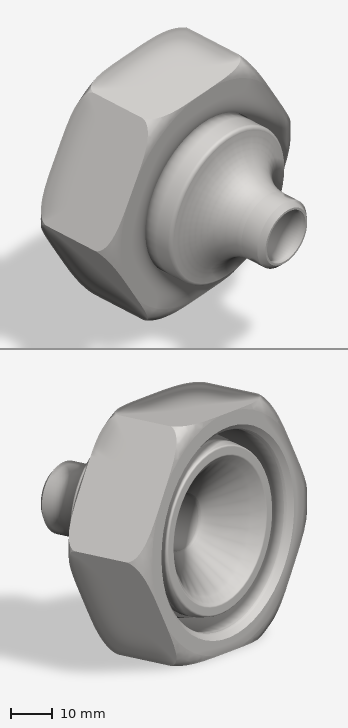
import cadquery as cq
import math

CORNER_RADIUS = 34.65
NUT_LENGTH = 24.05
CROWN_ROUND = 4.5
CROWN_CLEARANCE = 0.7
THREAD_BORE = 49.8
MOUTH_DIAMETER = 52.85
MOUTH_ROUND = 1.0
NUT_FLOOR_X = 18.0
NUT_HOLE = 42.3

LIP_X = 2.3
LIP_ROUND = 0.5
TIP_X = 50.5
FLANGE_DIAMETER = 47.8
CONE_HALF_ANGLE = math.radians(12)
CONE_END_X = 16.1
COLLAR_DIAMETER = 41.9
COLLAR_END_X = 32.1
COLLAR_ROUND = 1.05
NECK_DIAMETER = 18.0
NECK_START_X = 44.05
TIP_CHAMFER = 1.4
BORE_DIAMETER = 14.05
BORE_ROUND = 1.0
FUNNEL_DIAMETER = 37.05

GROOVE_START_X = 5.25
GROOVE_WIDTH = 3.3
GROOVE_FLOOR_RADIUS = 19.2
RING_SECTION = 2.4

EDGE_TOLERANCE = 0.035
COS_45 = math.sqrt(0.5)


def revolve_about_x(profile):
    """Turn a closed XY outline, with Y as the radius, fully about the X axis."""
    return profile.close().revolve(360, (0, 0, 0), (1, 0, 0))


def cone_radius(x):
    """Radius of the sealing cone at the axial place x."""
    return FLANGE_DIAMETER / 2 - (CONE_END_X - x) * math.tan(CONE_HALF_ANGLE)


def round_circle(body, x, radius, fillet):
    """Round the circular edge about the X axis at the given place and radius."""
    matches = [
        edge
        for edge in body.edges("%CIRCLE").vals()
        if abs(edge.Center().x - x) < EDGE_TOLERANCE and abs(edge.radius() - radius) < EDGE_TOLERANCE
    ]
    return body.newObject(matches).fillet(fillet)


def make_nut():
    """Hexagon union nut with rounded corners, open at X = 0."""
    hexagon = (
        cq.Workplane("YZ")
        .polygon(6, 2 * CORNER_RADIUS)
        .extrude(NUT_LENGTH)
    )

    face_radius = CORNER_RADIUS - CROWN_ROUND
    diagonal = CROWN_ROUND * COS_45
    arc_mid_x = CROWN_ROUND - diagonal
    arc_mid_radius = face_radius + diagonal
    crown_middle = (NUT_LENGTH / 2, CORNER_RADIUS + CROWN_CLEARANCE)
    crown = revolve_about_x(
        cq.Workplane("XY")
        .lineTo(0, face_radius)
        .threePointArc((arc_mid_x, arc_mid_radius), (CROWN_ROUND, CORNER_RADIUS))
        .lineTo(*crown_middle)
        .lineTo(NUT_LENGTH - CROWN_ROUND, CORNER_RADIUS)
        .threePointArc((NUT_LENGTH - arc_mid_x, arc_mid_radius), (NUT_LENGTH, face_radius))
        .lineTo(NUT_LENGTH, 0)
    )

    mouth_depth = (MOUTH_DIAMETER - THREAD_BORE) / 2
    cavity = revolve_about_x(
        cq.Workplane("XY")
        .lineTo(0, MOUTH_DIAMETER / 2)
        .lineTo(mouth_depth, THREAD_BORE / 2)
        .lineTo(NUT_FLOOR_X, THREAD_BORE / 2)
        .lineTo(NUT_FLOOR_X, NUT_HOLE / 2)
        .lineTo(NUT_LENGTH, NUT_HOLE / 2)
        .lineTo(NUT_LENGTH, 0)
    )
    cavity = round_circle(cavity, mouth_depth, THREAD_BORE / 2, MOUTH_ROUND)
    return hexagon.intersect(crown).cut(cavity)


def make_nipple():
    """Nipple with a sealing cone, a groove, a collar and a swept neck."""
    collar_radius = COLLAR_DIAMETER / 2
    neck_radius = NECK_DIAMETER / 2
    bore_radius = BORE_DIAMETER / 2
    funnel_radius = FUNNEL_DIAMETER / 2
    groove_end_x = GROOVE_START_X + GROOVE_WIDTH
    funnel_end_x = LIP_X + funnel_radius - bore_radius

    round_centre_x = COLLAR_END_X - COLLAR_ROUND
    round_diagonal = COLLAR_ROUND * COS_45
    sweep_start_radius = collar_radius - COLLAR_ROUND
    round_mid = (round_centre_x + round_diagonal, sweep_start_radius + round_diagonal)

    sweep_length = NECK_START_X - COLLAR_END_X
    sweep_height = sweep_start_radius - neck_radius
    sweep_radius = (sweep_length**2 + sweep_height**2) / (2 * sweep_height)
    half_angle = math.asin(sweep_length / sweep_radius) / 2
    sweep_mid = (
        NECK_START_X - sweep_radius * math.sin(half_angle),
        neck_radius + sweep_radius * (1 - math.cos(half_angle)),
    )

    nipple = revolve_about_x(
        cq.Workplane("XY")
        .moveTo(LIP_X, funnel_radius)
        .lineTo(LIP_X, cone_radius(LIP_X))
        .lineTo(GROOVE_START_X, cone_radius(GROOVE_START_X))
        .lineTo(GROOVE_START_X, GROOVE_FLOOR_RADIUS)
        .lineTo(groove_end_x, GROOVE_FLOOR_RADIUS)
        .lineTo(groove_end_x, cone_radius(groove_end_x))
        .lineTo(CONE_END_X, FLANGE_DIAMETER / 2)
        .lineTo(NUT_FLOOR_X, FLANGE_DIAMETER / 2)
        .lineTo(NUT_FLOOR_X, collar_radius)
        .lineTo(round_centre_x, collar_radius)
        .threePointArc(round_mid, (COLLAR_END_X, sweep_start_radius))
        .threePointArc(sweep_mid, (NECK_START_X, neck_radius))
        .lineTo(TIP_X - TIP_CHAMFER, neck_radius)
        .lineTo(TIP_X, neck_radius - TIP_CHAMFER)
        .lineTo(TIP_X, bore_radius)
        .lineTo(funnel_end_x, bore_radius)
    )
    nipple = round_circle(nipple, LIP_X, cone_radius(LIP_X), LIP_ROUND)
    nipple = round_circle(nipple, LIP_X, funnel_radius, LIP_ROUND)
    return round_circle(nipple, funnel_end_x, bore_radius, BORE_ROUND)


def make_seal_ring():
    """Round-section ring resting on the groove floor."""
    ring_x = GROOVE_START_X + GROOVE_WIDTH / 2
    ring_radius = GROOVE_FLOOR_RADIUS + RING_SECTION / 2
    return (
        cq.Workplane("XY")
        .center(ring_x, ring_radius)
        .circle(RING_SECTION / 2)
        .revolve(360, (0, -ring_radius, 0), (1, -ring_radius, 0))
    )


nut = make_nut()
nipple = make_nipple()
seal_ring = make_seal_ring()

result = cq.Compound.makeCompound([nut.val(), nipple.val(), seal_ring.val()])